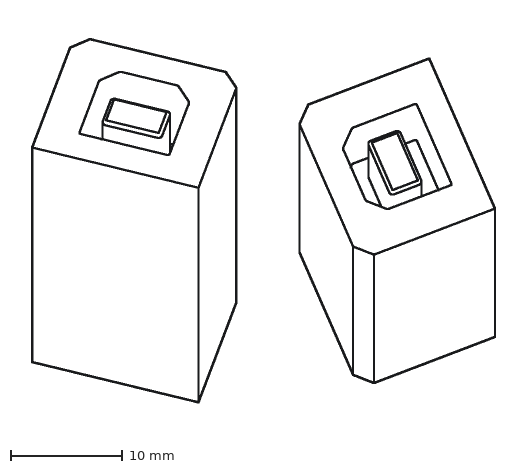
import cadquery as cq

body_width = 15.6
body_depth = 13.2
body_height = 32.0
corner_cut = 1.45

socket_width = 8.45
socket_depth = 7.75
socket_drop = 8.95
socket_corner_cut = 1.5
socket_cut_radius = 0.4
socket_corner_radius = 0.2

tongue_width = 5.57
tongue_depth = 3.1
tongue_center_y = -0.05
tongue_recess = 0.6
tongue_corner_radius = 0.35
tongue_top_chamfer = 0.32


def keyed_block(width, depth, height, cut):
    """Upright block with its two +Y vertical edges chamfered."""
    block = cq.Workplane("XY").box(width, depth, height, centered=(True, True, False))
    return block.faces(">Y").edges("|Z").chamfer(cut)


def make_socket():
    """Volume removed for the socket, with softened vertical edges."""
    socket = keyed_block(socket_width, socket_depth, socket_drop, socket_corner_cut)
    socket = socket.edges("|Z and (not <Y)").fillet(socket_cut_radius)
    socket = socket.faces("<Y").edges("|Z").fillet(socket_corner_radius)
    return socket.translate((0, 0, body_height - socket_drop))


def make_tongue():
    """Central tongue, with rounded upright edges and a chamfered top."""
    tongue_height = socket_drop - tongue_recess
    tongue = cq.Workplane("XY").box(
        tongue_width, tongue_depth, tongue_height, centered=(True, True, False)
    )
    tongue = tongue.edges("|Z").fillet(tongue_corner_radius)
    tongue = tongue.faces(">Z").chamfer(tongue_top_chamfer)
    return tongue.translate((0, tongue_center_y, body_height - socket_drop))


body = keyed_block(body_width, body_depth, body_height, corner_cut)
result = body.cut(make_socket()).union(make_tongue())